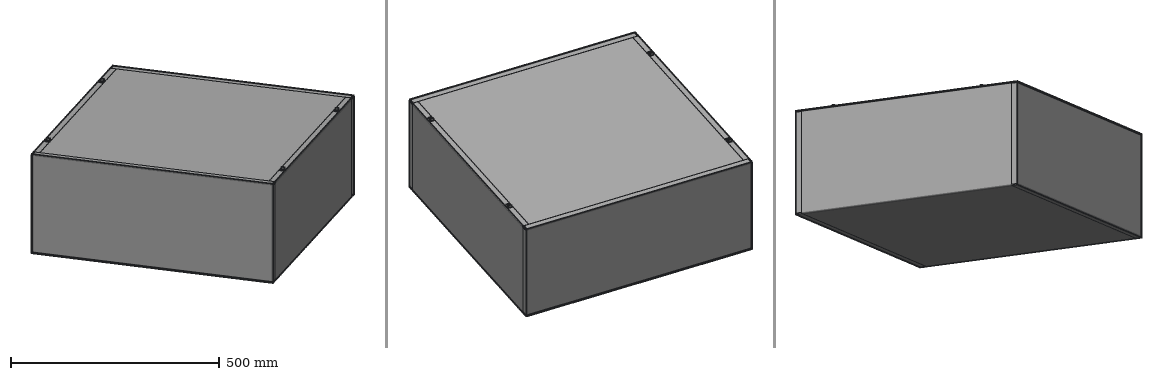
import cadquery as cq

width = 613.5
depth = 609.5
total_height = 261.0

sheet = 1.55
bend_diameter = 4.85
flange = 16.5

loop_rise = 3.5
loop_width = 8.0
loop_span = 7.5
loop_bend_diameter = 4.35
loop_x = 297.0
loop_y = 203.5
slot_length = 16.5

bend_radius = bend_diameter / 2
inner_bend_radius = bend_radius - sheet
loop_bend_radius = loop_bend_diameter / 2
box_height = total_height - loop_rise
wrapper_height = box_height - sheet
inner_width = width - 2 * sheet
flange_gap = width - 2 * flange
sides = (-1, 1)
loop_places = [(x * loop_x, y * loop_y) for x in sides for y in sides]


def block(x_size, y_size, z_bottom, z_top, y_center=0):
    """A box centred on X = 0 between two heights."""
    return (
        cq.Workplane("XY")
        .box(x_size, y_size, z_top - z_bottom, centered=(True, True, False))
        .translate((0, y_center, z_bottom))
    )


def make_cavity():
    """The rounded space between the wrapper's floor, sides and flanges."""
    cavity = block(inner_width, depth, sheet, wrapper_height - sheet)
    return cavity.edges("|Y").fillet(inner_bend_radius)


def make_wrapper():
    """Floor and both X sides folded from one sheet, with flanges turned in under the cover."""
    outer = block(width, depth, 0, wrapper_height).edges("|Y").fillet(bend_radius)
    opening = block(flange_gap, depth, sheet, wrapper_height)
    wrapper = outer.cut(make_cavity()).cut(opening)

    for side in sides:
        relief_center = side * (depth - flange) / 2
        relief = block(width, flange, wrapper_height - bend_radius, wrapper_height, relief_center)
        wrapper = wrapper.cut(relief)
    return wrapper


def make_front_panel():
    """The -Y panel: a flat face with a flange folded back along each of its four edges."""
    outer_y = (flange - depth) / 2
    outer = block(inner_width, flange, sheet, wrapper_height, outer_y)
    outer = outer.edges("<Y").fillet(bend_radius)
    hollow = block(inner_width - 2 * sheet, flange, 2 * sheet, wrapper_height - sheet, outer_y + sheet)
    hollow = hollow.edges("<Y").fillet(inner_bend_radius)
    panel = outer.cut(hollow)

    notch_y = outer_y + bend_radius
    for corner_x in (-inner_width / 2, inner_width / 2):
        for corner_z in (sheet, wrapper_height):
            notch = cq.Workplane("XY").box(2 * bend_radius, flange, 2 * bend_radius)
            panel = panel.cut(notch.translate((corner_x, notch_y, corner_z)))

    seat = block(inner_width, depth, sheet, wrapper_height)
    seat = seat.edges("|Y and <Z").fillet(inner_bend_radius)
    return panel.intersect(seat)


def make_cover():
    """Flat top sheet with one slot per loop, reaching past the loop toward -Y."""
    slot_shift = (loop_span - slot_length) / 2
    slots = (
        cq.Workplane("XY", origin=(0, slot_shift, wrapper_height))
        .pushPoints(loop_places)
        .rect(loop_width, slot_length)
        .extrude(sheet)
    )
    return block(inner_width, depth, wrapper_height, box_height).cut(slots)


def make_loop(x, y):
    """A strip bent into a low bridge along Y, standing in its slot."""
    outer = block(loop_width, loop_span, wrapper_height, total_height)
    outer = outer.edges("|X and >Z").fillet(loop_bend_radius)
    hollow = block(loop_width, loop_span - 2 * sheet, wrapper_height, total_height - sheet)
    hollow = hollow.edges("|X and >Z").fillet(loop_bend_radius - sheet)
    return outer.cut(hollow).translate((x, y, 0))


wrapper = make_wrapper()
front_panel = make_front_panel()
back_panel = front_panel.mirror("XZ")
cover = make_cover()
loops = [make_loop(x, y) for x, y in loop_places]

result = cq.Compound.makeCompound(
    [
        wrapper.val(),
        front_panel.val(),
        back_panel.val(),
        cover.val(),
        *[loop.val() for loop in loops],
    ]
)